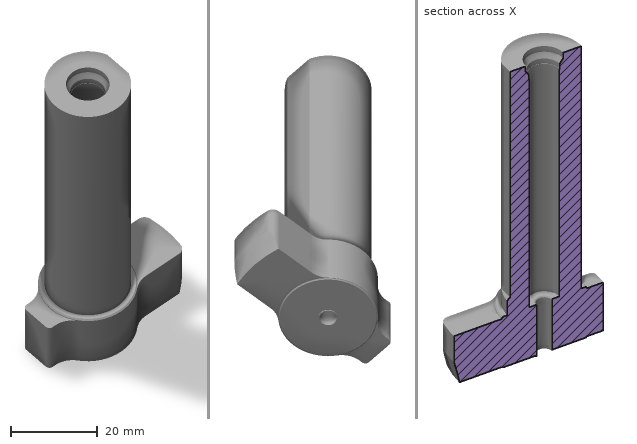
import cadquery as cq
import math

total_height = 85.0
nub_height = 0.25
ring_top = 15.05
arm_bottom = 0.5
arm_top = 14.5
arm_height = arm_top - arm_bottom

shaft_diameter = 20.0
flat_y = 9.3
flat_start = 19.9
flat_runout = shaft_diameter / 2 - flat_y

ring_diameter = 22.95
ring_chamfer = 0.3
neck_radius = 5.95

lever_width = 14.1
lever_end = 24.3
tip_radius = 30.6
tip_corner_radius = 2.1
tip_taper_top = 7.0
tip_taper_depth = 1.5

tail_width = 9.1
tail_end = 15.9
tail_corner_radius = 1.1

mouth_diameter = 10.0
mouth_depth = 1.6
cone_diameter = 8.2
cone_depth = 1.3
guide_depth = 1.45
bore_diameter = 8.0
bore_floor = ring_top
hole_diameter = 4.0
hole_rim_diameter = 4.5
hole_chamfer = (hole_rim_diameter - hole_diameter) / 2


def cylinder(diameter, bottom, top):
    return cq.Workplane("XY").workplane(offset=bottom).circle(diameter / 2).extrude(top - bottom)


def make_lever():
    """Lever plate with rounded tip corners, before the taper under the tip."""
    half_width = lever_width / 2
    side_end = lever_end - tip_radius + math.sqrt(tip_radius**2 - half_width**2)
    return (
        cq.Workplane("XY", origin=(0, 0, arm_bottom))
        .moveTo(-half_width, 0)
        .lineTo(half_width, 0)
        .lineTo(half_width, side_end)
        .threePointArc((0, lever_end), (-half_width, side_end))
        .close()
        .extrude(arm_height)
        .edges("|Z")
        .edges(">Y")
        .fillet(tip_corner_radius)
    )


def make_tip_envelope():
    """Disc around the tip arc's centre, tapering inward towards the bottom."""
    return (
        cq.Workplane("XZ", origin=(0, lever_end - tip_radius, 0))
        .moveTo(0, arm_bottom)
        .lineTo(tip_radius - tip_taper_depth, arm_bottom)
        .lineTo(tip_radius, tip_taper_top)
        .lineTo(tip_radius, arm_top)
        .lineTo(0, arm_top)
        .close()
        .revolve(360, (0, 0, 0), (0, 1, 0))
    )


def make_tail():
    return (
        cq.Workplane("XY", origin=(0, -tail_end / 2, arm_bottom))
        .rect(tail_width, tail_end)
        .extrude(arm_height)
        .edges("|Z and <Y")
        .fillet(tail_corner_radius)
    )


def neck_edges(arm_width, direction):
    """Selector for the two upright edges where an arm meets the ring."""
    half_width = arm_width / 2
    meeting_y = direction * math.sqrt((ring_diameter / 2) ** 2 - half_width**2)
    margin = 0.1
    return cq.selectors.BoxSelector(
        (-half_width - margin, meeting_y - margin, arm_bottom),
        (half_width + margin, meeting_y + margin, arm_top),
    )


def make_base():
    """Arms blended into the hub, with the chamfered ring standing proud of both faces."""
    hub = cylinder(ring_diameter, arm_bottom, arm_top)
    base = hub.union(make_lever()).union(make_tail())
    base = base.edges(neck_edges(lever_width, 1) + neck_edges(tail_width, -1)).fillet(neck_radius)
    base = base.intersect(make_tip_envelope())
    ring = cylinder(ring_diameter, nub_height, ring_top).faces("<Z or >Z").chamfer(ring_chamfer)
    return base.union(ring)


def make_flat_cutter():
    """Material outside the shaft flat, with a 45 degree run-out at its lower end."""
    outside_y = shaft_diameter
    runout_rise = outside_y - flat_y
    return (
        cq.Workplane("YZ")
        .moveTo(flat_y, flat_start)
        .lineTo(flat_y + flat_runout, flat_start - flat_runout)
        .lineTo(flat_y + runout_rise, flat_start - flat_runout)
        .lineTo(flat_y + runout_rise, total_height)
        .lineTo(flat_y, total_height)
        .close()
        .extrude(shaft_diameter / 2, both=True)
    )


def make_bore():
    """Wide mouth, cone, guide, main bore and a chamfered through hole, as one revolved cutter."""
    mouth_bottom = total_height - mouth_depth
    cone_bottom = mouth_bottom - cone_depth
    guide_bottom = cone_bottom - guide_depth
    return (
        cq.Workplane("XZ")
        .moveTo(0, 0)
        .lineTo(hole_diameter / 2, 0)
        .lineTo(hole_diameter / 2, bore_floor - hole_chamfer)
        .lineTo(hole_rim_diameter / 2, bore_floor)
        .lineTo(bore_diameter / 2, bore_floor)
        .lineTo(bore_diameter / 2, guide_bottom)
        .lineTo(cone_diameter / 2, guide_bottom)
        .lineTo(cone_diameter / 2, cone_bottom)
        .lineTo(mouth_diameter / 2, mouth_bottom)
        .lineTo(mouth_diameter / 2, total_height)
        .lineTo(0, total_height)
        .close()
        .revolve(360, (0, 0, 0), (0, 1, 0))
    )


shaft = cylinder(shaft_diameter, ring_top, total_height).cut(make_flat_cutter())
nub = cylinder(hole_rim_diameter, 0, nub_height)
result = make_base().union(shaft).union(nub).cut(make_bore())